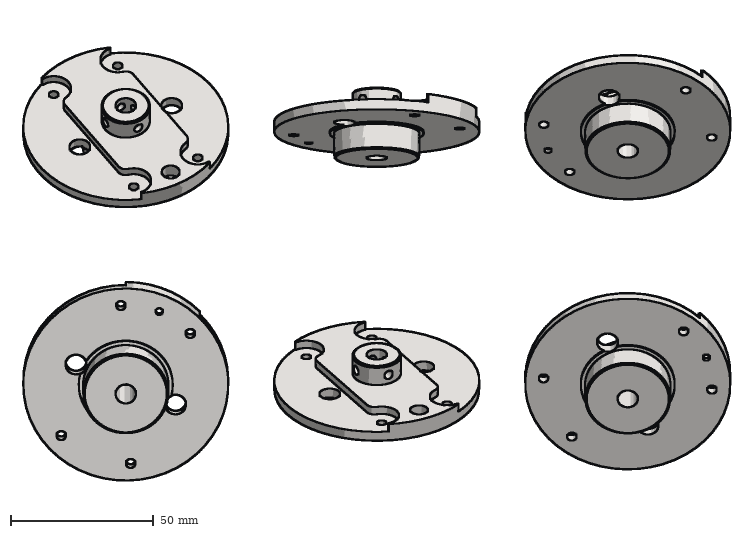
import cadquery as cq

PLATE_DIAMETER = 72.0
PLATE_THICKNESS = 3.65
STRIP_WIDTH = 28.2
STRIP_HEIGHT = 3.0

CORNER_HOLE_DIAMETER = 3.3
CORNER_SPACING_X = 53.0
CORNER_SPACING_Y = 26.5
RELIEF_RADIUS = 6.1
RELIEF_BLEND_RADIUS = 3.0

SIDE_HOLE_DIAMETER = 7.3
SIDE_HOLE_SPACING = 38.0

SCREW_OFFSET = 29.75
SCREW_HOLE_DIAMETER = 2.5
SCREW_HEAD_DIAMETER = 6.3
SCREW_HEAD_DEPTH = 5.0

BOSS_DIAMETER = 17.0
BOSS_HEIGHT = 7.5
BOSS_CHAMFER = 0.5
BORE_DIAMETER = 7.1
SET_SCREW_DIAMETER = 3.3
SET_SCREW_DROP = 4.0

SHOULDER_DIAMETER = 33.0
SHOULDER_THICKNESS = 0.5
SEAT_DIAMETER = 30.0
SEAT_LENGTH = 4.75
LEAD_IN_LENGTH = 4.1
LEAD_IN_END_DIAMETER = 29.8
HUB_CHAMFER = 0.5

SEAT_BOTTOM = LEAD_IN_LENGTH
SHOULDER_BOTTOM = SEAT_BOTTOM + SEAT_LENGTH
PLATE_BOTTOM = SHOULDER_BOTTOM + SHOULDER_THICKNESS
PLATE_TOP = PLATE_BOTTOM + PLATE_THICKNESS
STRIP_TOP = PLATE_TOP + STRIP_HEIGHT
BOSS_TOP = STRIP_TOP + BOSS_HEIGHT

CORNER_POINTS = [
    (side_x * CORNER_SPACING_X / 2, side_y * CORNER_SPACING_Y / 2)
    for side_x in (-1, 1)
    for side_y in (-1, 1)
]


def cylinder(diameter, bottom, top, points=((0, 0),)):
    """Vertical cylinders between two heights, centred on the given points."""
    return (
        cq.Workplane("XY", origin=(0, 0, bottom))
        .pushPoints(list(points))
        .circle(diameter / 2)
        .extrude(top - bottom)
    )


def make_strip():
    """Raised strip trimmed to the rim, with blended reliefs at its four corners."""
    strip = (
        cq.Workplane("XY", origin=(0, 0, PLATE_TOP))
        .rect(PLATE_DIAMETER, STRIP_WIDTH)
        .extrude(STRIP_HEIGHT)
    )
    strip = strip.cut(cylinder(2 * RELIEF_RADIUS, PLATE_TOP, STRIP_TOP, CORNER_POINTS))
    relief_center_x = CORNER_SPACING_X / 2
    inner_zone = cq.selectors.BoxSelector(
        (-relief_center_x, -STRIP_WIDTH, PLATE_BOTTOM), (relief_center_x, STRIP_WIDTH, BOSS_TOP)
    )
    strip = strip.edges("|Z").edges(inner_zone).fillet(RELIEF_BLEND_RADIUS)
    return strip.intersect(cylinder(PLATE_DIAMETER, PLATE_TOP, STRIP_TOP))


def make_hub():
    """Turned hub below the plate."""
    lead_in_radius = LEAD_IN_END_DIAMETER / 2
    seat_radius = SEAT_DIAMETER / 2
    shoulder_radius = SHOULDER_DIAMETER / 2
    return (
        cq.Workplane("XZ")
        .moveTo(0, 0)
        .lineTo(lead_in_radius - HUB_CHAMFER, 0)
        .lineTo(lead_in_radius, HUB_CHAMFER)
        .lineTo(seat_radius, SEAT_BOTTOM)
        .lineTo(seat_radius, SHOULDER_BOTTOM)
        .lineTo(shoulder_radius, SHOULDER_BOTTOM)
        .lineTo(shoulder_radius, PLATE_BOTTOM)
        .lineTo(0, PLATE_BOTTOM)
        .close()
        .revolve(360, (0, 0, 0), (0, 1, 0))
    )


def make_boss():
    """Boss on the strip with a chamfered top edge."""
    return cylinder(BOSS_DIAMETER, STRIP_TOP, BOSS_TOP).faces(">Z").chamfer(BOSS_CHAMFER)


def set_screw_hole(plane):
    """Horizontal hole right through the boss, normal to the named plane."""
    return (
        cq.Workplane(plane, origin=(0, 0, BOSS_TOP - SET_SCREW_DROP))
        .circle(SET_SCREW_DIAMETER / 2)
        .extrude(BOSS_DIAMETER, both=True)
    )


def cut_holes(body):
    """Cut the bore and every hole in the plate and boss."""
    side_points = [(0, -SIDE_HOLE_SPACING / 2), (0, SIDE_HOLE_SPACING / 2)]
    screw_point = [(SCREW_OFFSET, 0)]
    body = body.cut(cylinder(BORE_DIAMETER, 0, BOSS_TOP))
    body = body.cut(cylinder(CORNER_HOLE_DIAMETER, PLATE_BOTTOM, PLATE_TOP, CORNER_POINTS))
    body = body.cut(cylinder(SIDE_HOLE_DIAMETER, SHOULDER_BOTTOM, PLATE_TOP, side_points))
    body = body.cut(cylinder(SCREW_HOLE_DIAMETER, PLATE_BOTTOM, STRIP_TOP, screw_point))
    body = body.cut(cylinder(SCREW_HEAD_DIAMETER, STRIP_TOP - SCREW_HEAD_DEPTH, STRIP_TOP, screw_point))
    for plane in ("XZ", "YZ"):
        body = body.cut(set_screw_hole(plane))
    return body


plate = cylinder(PLATE_DIAMETER, PLATE_BOTTOM, PLATE_TOP)
result = cut_holes(plate.union(make_strip()).union(make_hub()).union(make_boss()))